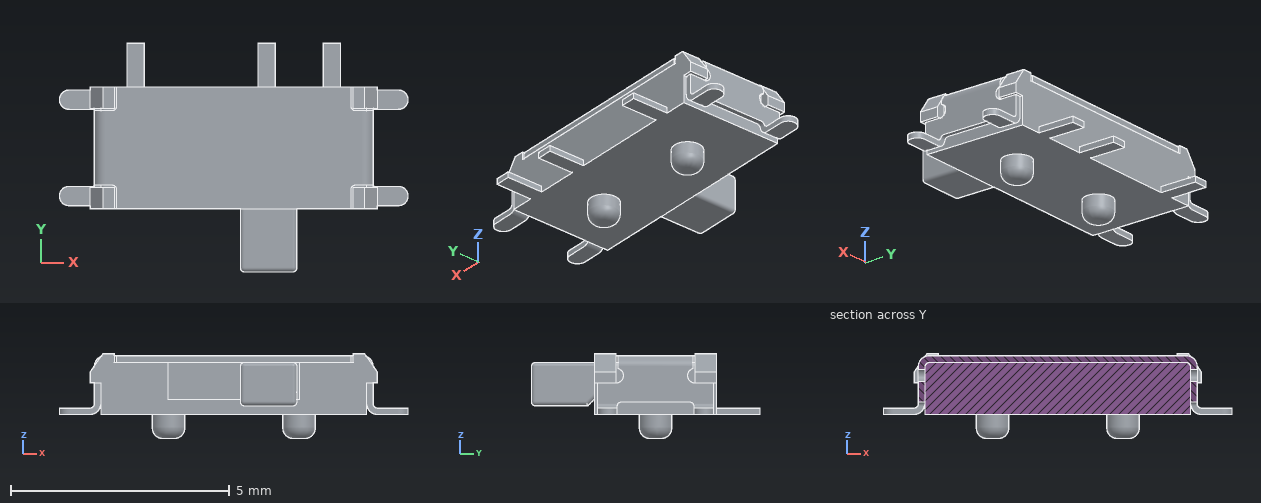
import cadquery as cq


sheet = 0.15
bend_outer = 0.25
bend_inner = bend_outer - sheet
cover_half_length = 3.2
housing_height = 1.2
cover_top = housing_height + sheet

housing_width = 2.8
housing_half_width = housing_width / 2
housing_half_length = cover_half_length - sheet

block_width = 0.5
block_inner_x = 2.74
block_slope_x = 3.0
block_outer_x = 3.3
block_bottom = 0.73
block_slope_z = 0.98
block_top = 1.4
block_inner_y = housing_half_width - block_width

block_gap = 0.05
notch_radius = 0.1
relief_radius = 0.17
relief_z = block_bottom + relief_radius

foot_tip_x = 4.0
foot_width = 0.45
foot_outer_y = 1.33
foot_inner_y = foot_outer_y - foot_width
foot_middle_y = foot_outer_y - foot_width / 2
foot_round_x = foot_tip_x - foot_width / 2
window_top = 0.29
window_radius = 0.1

peg_x = 1.5
peg_diameter = 0.75
peg_length = 0.55
peg_round = 0.25

pin_positions = [-2.25, 0.75, 2.25]
pin_width = 0.4
pin_tip_y = 2.4

slot_half_length = 1.5
slot_floor = 0.35
slot_depth = 0.5
slot_back_y = -housing_half_width + slot_depth

knob_x_min = 0.15
knob_width = 1.3
knob_tip_y = -2.85
knob_bottom = 0.2
knob_neck_bottom = 0.46
knob_heel_y = -1.55
knob_neck_y = knob_heel_y + knob_neck_bottom - knob_bottom
knob_round = 0.1

SIDES = (-1, 1)


def box(x_range, y_range, z_range):
    """Box between two limits along each axis, given in any order."""
    limits = [sorted(pair) for pair in (x_range, y_range, z_range)]
    sizes = [high - low for low, high in limits]
    corner = [low for low, high in limits]
    return cq.Workplane("XY").box(*sizes, centered=False).translate(tuple(corner))


def make_housing_block():
    """Plastic block whose upper end edges follow the inside of the cover bends."""
    block = box(
        (-housing_half_length, housing_half_length),
        (-housing_half_width, housing_half_width),
        (0, housing_height),
    )
    return block.edges("|Y and >Z").fillet(bend_inner)


def make_cover_cap():
    """Top plate and the end flaps down to the block undersides, cut clear of the blocks."""
    cap = box(
        (-cover_half_length, cover_half_length),
        (-housing_half_width, housing_half_width),
        (block_bottom, cover_top),
    )
    cap = cap.edges("|Y and >Z").fillet(bend_outer)
    for side_x in SIDES:
        for side_y in SIDES:
            notch = box(
                (side_x * (block_inner_x - block_gap), side_x * block_outer_x),
                (side_y * (block_inner_y - block_gap), side_y * housing_width),
                (block_bottom, block_top),
            )
            inner_edge = "|Z and " + ("<X" if side_x > 0 else ">X")
            notch = notch.edges(inner_edge).fillet(notch_radius)
            cap = cap.cut(notch)
    return cap


def make_end_strap(side_x):
    """Lower part of one end flap, bent outward at the bottom into two rounded feet."""
    bend_x = housing_half_length + bend_outer
    strap = (
        cq.Workplane("XZ")
        .moveTo(housing_half_length, block_bottom)
        .lineTo(housing_half_length, bend_outer)
        .radiusArc((bend_x, 0), -bend_outer)
        .lineTo(foot_round_x, 0)
        .lineTo(foot_round_x, sheet)
        .lineTo(bend_x, sheet)
        .radiusArc((cover_half_length, bend_outer), bend_inner)
        .lineTo(cover_half_length, block_bottom)
        .close()
        .extrude(foot_outer_y, both=True)
    )
    window = box((0, foot_tip_x), (-foot_inner_y, foot_inner_y), (-window_top, window_top))
    strap = strap.cut(window.edges("|X and >Z").fillet(window_radius))
    tips = (
        cq.Workplane("XY")
        .pushPoints([(foot_round_x, side_y * foot_middle_y) for side_y in SIDES])
        .circle(foot_width / 2)
        .extrude(sheet)
    )
    strap = strap.union(tips)
    return strap if side_x > 0 else strap.mirror("YZ")


def make_reliefs():
    """Round cutters that clear the end flaps beside the corner blocks."""
    return (
        cq.Workplane("YZ")
        .pushPoints([(side_y * block_inner_y, relief_z) for side_y in SIDES])
        .circle(relief_radius)
        .extrude(block_outer_x, both=True)
    )


def make_corner_block(side_x, side_y):
    """Clamping block with a sloped outer face, one at each corner."""
    outline = [
        (block_inner_x, block_bottom),
        (block_inner_x, block_top),
        (block_slope_x, block_top),
        (block_outer_x, block_slope_z),
        (block_outer_x, block_bottom),
    ]
    block = (
        cq.Workplane("XZ", origin=(0, housing_half_width, 0))
        .polyline([(side_x * x, z) for x, z in outline])
        .close()
        .extrude(block_width)
    )
    return block if side_y > 0 else block.mirror("XZ")


def make_peg(side_x):
    """Round-ended locating peg under the housing."""
    peg = cq.Workplane("XY").center(side_x * peg_x, 0).circle(peg_diameter / 2).extrude(-peg_length)
    return peg.faces("<Z").edges().fillet(peg_round)


def make_pin(middle_x):
    """Flat contact pin leaving the back of the housing."""
    return box(
        (middle_x - pin_width / 2, middle_x + pin_width / 2),
        (0, pin_tip_y),
        (0, sheet),
    )


def make_knob():
    """Rounded knob whose raised neck runs to the back of the slot."""
    outline = [
        (slot_back_y, housing_height),
        (knob_tip_y, housing_height),
        (knob_tip_y, knob_bottom),
        (knob_heel_y, knob_bottom),
        (knob_neck_y, knob_neck_bottom),
        (slot_back_y, knob_neck_bottom),
    ]
    knob = (
        cq.Workplane("YZ", origin=(knob_x_min, 0, 0))
        .polyline(outline)
        .close()
        .extrude(knob_width)
    )
    side_edges = knob.faces("<X or >X").edges("not >Y")
    tip_edges = knob.faces("<Y").edges("|X")
    return side_edges.add(tip_edges).fillet(knob_round)


def make_housing():
    """Block with corner blocks, pegs and pins, slotted around the knob."""
    body = make_housing_block()
    for side_x in SIDES:
        body = body.union(make_peg(side_x))
        for side_y in SIDES:
            body = body.union(make_corner_block(side_x, side_y))
    for middle_x in pin_positions:
        body = body.union(make_pin(middle_x))
    slot = box(
        (-slot_half_length, slot_half_length),
        (-housing_width, slot_back_y),
        (slot_floor, housing_height),
    )
    return body.cut(slot).union(make_knob())


def make_cover():
    """Cover with its end flaps and feet, hollowed to fit over the housing block."""
    cover = make_cover_cap().cut(make_housing_block())
    for side_x in SIDES:
        cover = cover.union(make_end_strap(side_x))
    return cover.cut(make_reliefs())


housing = make_housing()
cover = make_cover()

result = cq.Compound.makeCompound([housing.solids().val(), cover.solids().val()])